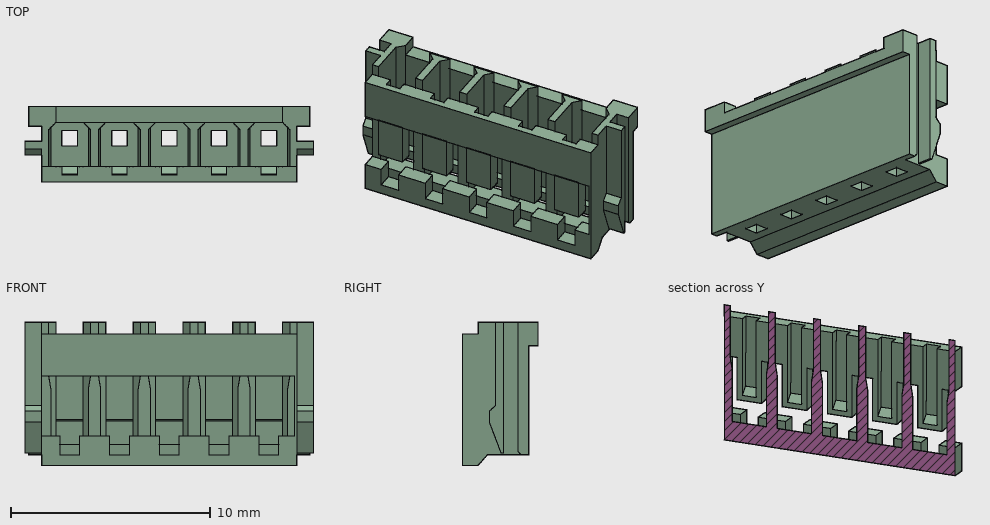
import cadquery as cq


overall_width = 14.5
overall_depth = 3.8
overall_height = 7.2
body_width = 12.8
back_y = 3.34
underside_z = 0.54
foot_back_y = 1.26
front_wall = 0.78
flange_z = 6.0
lintel_top = 6.61
lintel_bottom = 4.5
sill_top = 1.5

cavity_count = 5
end_wall = 0.35
cavity_width = 2.1
cavity_low_width = 1.88
cavity_back_width = 1.36
cavity_back_y = 3.0
cavity_floor = 1.06
taper_bottom = 3.84
taper_top = lintel_bottom
pin_hole = 0.77
pin_hole_y = 2.2

sill_notch_width = 0.99
end_web = 0.12
tongue_width = 1.36
tongue_front_y = 0.06
tongue_tip_front_z = 2.32
tongue_tip_back_z = 2.25
tongue_slot_width = 0.77
slot_top_y = 0.35
slot_ramp_y = 0.4
slot_ramp_top = 2.9
slot_ramp_bottom = 2.52

post_half_width = 7.06
post_front_y = 2.8
post_chamfer = 0.16
wing_front_y = 1.67
wing_back_y = 2.06
wing_bottom = 0.62
wing_tip_y = 1.95
latch_front_y = 1.35
latch_low_z = 2.19
latch_high_z = 2.73
latch_top = 3.02

pitch = (body_width - 2 * end_wall - cavity_width) / (cavity_count - 1)
cavity_centers = [(i - (cavity_count - 1) / 2) * pitch for i in range(cavity_count)]


def block(x0, x1, y0, y1, z0, z1):
    """Box given by its limits along each axis."""
    return cq.Workplane("XY").box(x1 - x0, y1 - y0, z1 - z0, centered=False).translate((x0, y0, z0))


def centered_block(x, width, y0, y1, z0, z1):
    """Box centred on x, given by its limits along Y and Z."""
    return block(x - width / 2, x + width / 2, y0, y1, z0, z1)


def side_prism(points, x0, x1):
    """Outline in (Y, Z) extruded along X from x0 to x1."""
    return cq.Workplane("YZ").polyline(points).close().extrude(x1 - x0).translate((x0, 0, 0))


def make_shell():
    """Solid body with its stepped front, back flange and sloped foot."""
    outline = [
        (0, 0),
        (front_wall, 0),
        (foot_back_y, underside_z),
        (back_y, underside_z),
        (back_y, flange_z),
        (overall_depth, flange_z),
        (overall_depth, overall_height),
        (front_wall, overall_height),
        (front_wall, lintel_top),
        (0, lintel_top),
    ]
    return side_prism(outline, -body_width / 2, body_width / 2)


def make_end_features():
    """Corner post and latch wing at the +X end."""
    post_outline = [
        (post_front_y, underside_z + post_chamfer),
        (post_front_y + post_chamfer, underside_z),
        (back_y, underside_z),
        (back_y, flange_z),
        (overall_depth, flange_z),
        (overall_depth, overall_height),
        (post_front_y, overall_height),
    ]
    wing_outline = [
        (wing_back_y, wing_bottom),
        (wing_back_y, overall_height),
        (wing_front_y, overall_height),
        (wing_front_y, latch_top),
        (latch_front_y, latch_high_z),
        (latch_front_y, latch_low_z),
        (wing_tip_y, wing_bottom),
    ]
    inner_x = cavity_centers[-1] + cavity_width / 2
    post = side_prism(post_outline, inner_x, post_half_width)
    wing = side_prism(wing_outline, inner_x, overall_width / 2)
    return post.union(wing)


def cavity_section(x, width):
    """Plan outline of a cavity: square front, 45 degree back corners."""
    half = width / 2
    half_back = cavity_back_width / 2
    corner_y = cavity_back_y - (half - half_back)
    return [
        (x - half, front_wall),
        (x + half, front_wall),
        (x + half, corner_y),
        (x + half_back, cavity_back_y),
        (x - half_back, cavity_back_y),
        (x - half, corner_y),
    ]


def make_cavity(x):
    """Cavity that widens through a taper, with a square pin hole in its floor."""
    low = cavity_section(x, cavity_low_width)
    high = cavity_section(x, cavity_width)
    lower = cq.Workplane("XY", origin=(0, 0, cavity_floor)).polyline(low).close()
    lower = lower.extrude(taper_bottom - cavity_floor)
    taper = cq.Workplane("XY", origin=(0, 0, taper_bottom)).polyline(low).close()
    taper = taper.workplane(offset=taper_top - taper_bottom).polyline(high).close().loft(ruled=True)
    upper = cq.Workplane("XY", origin=(0, 0, taper_top)).polyline(high).close()
    upper = upper.extrude(overall_height - taper_top)
    hole_front = pin_hole_y - pin_hole / 2
    hole = centered_block(x, pin_hole, hole_front, hole_front + pin_hole, 0, cavity_floor)
    return lower.union(taper).union(upper).union(hole)


def make_tongue(x):
    """Locking tongue hanging from the lintel in front of a cavity."""
    outline = [
        (tongue_front_y, lintel_bottom),
        (tongue_front_y, tongue_tip_front_z),
        (front_wall, tongue_tip_back_z),
        (front_wall, lintel_bottom),
    ]
    return side_prism(outline, x - tongue_width / 2, x + tongue_width / 2)


def make_tongue_slot(x):
    """Groove down the inner side of lintel and tongue, ending in a ramp."""
    outline = [
        (front_wall, lintel_top),
        (slot_top_y, lintel_top),
        (slot_ramp_y, slot_ramp_top),
        (front_wall, slot_ramp_bottom),
    ]
    return side_prism(outline, x - tongue_slot_width / 2, x + tongue_slot_width / 2)


result = make_shell()

result = result.cut(
    block(-body_width / 2, body_width / 2 - end_web, 0, front_wall, sill_top, lintel_bottom)
)

ledge_width = cavity_centers[-1] - cavity_centers[0] + cavity_back_width
result = result.cut(
    centered_block(0, ledge_width, cavity_back_y, overall_depth, lintel_top, overall_height)
)

for center in cavity_centers:
    result = result.cut(make_cavity(center))
    result = result.cut(centered_block(center, sill_notch_width, 0, front_wall, underside_z, sill_top))
    result = result.union(make_tongue(center))
    result = result.cut(make_tongue_slot(center))

end_features = make_end_features()
result = result.union(end_features).union(end_features.mirror("YZ"))